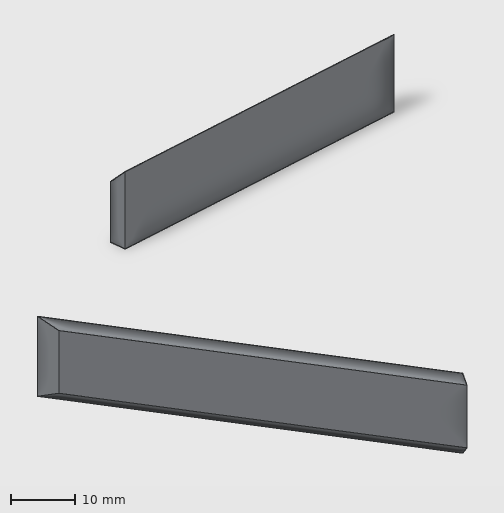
import cadquery as cq

thickness = 3.7
length = 78.8
height = 12.8
end_taper = 1.6
top_drop = 2.75

half_length = length / 2
short_half_length = half_length - end_taper

bar = (
    cq.Workplane("XY")
    .polyline([
        (0, -short_half_length),
        (thickness, -half_length),
        (thickness, half_length),
        (0, short_half_length),
    ])
    .close()
    .extrude(height)
)

top_wedge = (
    cq.Workplane("XZ")
    .polyline([
        (0, height - top_drop),
        (thickness, height),
        (0, height),
    ])
    .close()
    .extrude(half_length, both=True)
)

result = bar.cut(top_wedge)